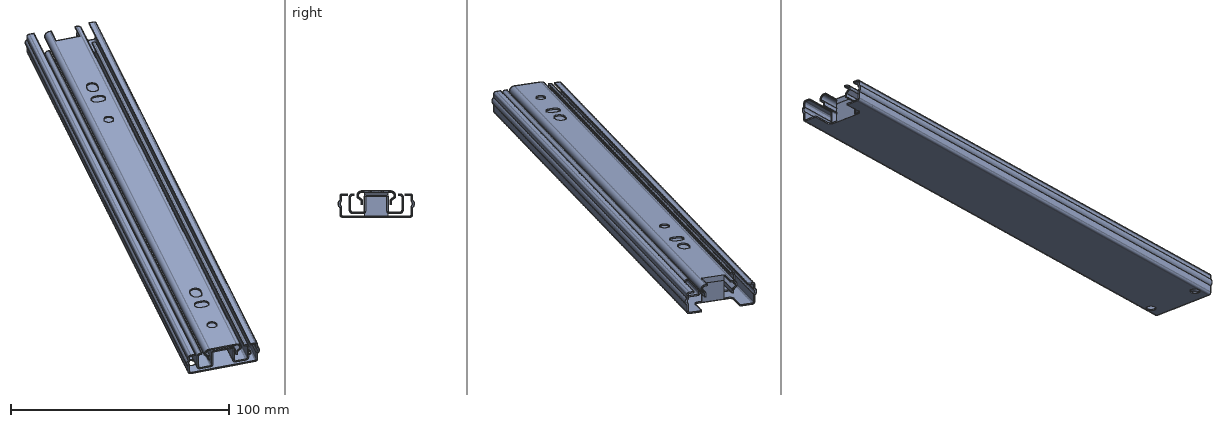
import cadquery as cq
import math

SLIDE_LENGTH = 250.0
OVERALL_WIDTH = 35.0
OVERALL_HEIGHT = 12.2
SHEET = 0.7
BEND_RADIUS = 1.2
INNER_BEND_RADIUS = BEND_RADIUS - SHEET
FRONT_X = -SLIDE_LENGTH / 2
REAR_X = SLIDE_LENGTH / 2

BEAD_RISE = 0.85
GROOVE_RISE = 0.5
BEAD_CHORD = 3.4
GROOVE_CHORD = 2.4
BEAD_Z = 6.2
CHANNEL_HALF_WIDTH = OVERALL_WIDTH / 2 - BEAD_RISE
CHANNEL_HEIGHT = 10.8
LIP_HALF_GAP = 13.2
NOTCH_DEPTH = 10.0
NOTCH_HALF_WIDTH = 9.4
NOTCH_CORNER_RADIUS = 1.9
BASE_HOLE_DIAMETER = 4.5
BASE_HOLE_Y = 13.2
BASE_HOLE_SETBACK = 7.1

TAB_X = FRONT_X + NOTCH_DEPTH
TAB_HALF_WIDTH = 5.4
TAB_MEETING_Z = 9.5

MIDDLE_SETBACK = 14.4
MIDDLE_MID_X = (FRONT_X + MIDDLE_SETBACK + REAR_X) / 2
MIDDLE_HALF_WIDTH = 12.4
MIDDLE_BOTTOM_Z = 1.8
MIDDLE_TOP_Z = CHANNEL_HEIGHT
HAT_HALF_WIDTH = 5.5
WING_BEND_RADIUS = 1.5
WING_LIP_HALF_GAP = 10.15

INNER_SETBACK = 2.5
SHOULDER_RADIUS = 2.4
INNER_HALF_WIDTH = 8.9
SHOULDER_BOTTOM_Z = 9.2
FLANGE_OUTER_Y = 7.0
FLANGE_TOP_Z = 7.7
FLANGE_BOTTOM_Z = 6.0
COVER_NOTCH_HALF_WIDTH = 5.7

HOLE_GROUP_PITCH = 160.0
LONG_SLOT_X = 48.0
LONG_SLOT_LENGTH = 6.7
LONG_SLOT_WIDTH = 5.2
CROSS_SLOT_X = 57.0
CROSS_SLOT_LENGTH = 6.7
ROUND_HOLE_X = 73.0
ROUND_HOLE_DIAMETER = 4.5


def block(x_range, y_range, z_range):
    """Rectangular block between the given limits."""
    size = [end - start for start, end in (x_range, y_range, z_range)]
    corner = (x_range[0], y_range[0], z_range[0])
    return cq.Workplane("XY").box(*size, centered=False).translate(corner)


def make_bead(wall_y, rise, chord):
    """Full-length bar whose section is a circular segment standing on a wall face."""
    return (
        cq.Workplane("YZ", origin=(FRONT_X, 0, 0))
        .moveTo(wall_y, BEAD_Z - chord / 2)
        .threePointArc((wall_y + rise, BEAD_Z), (wall_y, BEAD_Z + chord / 2))
        .close()
        .extrude(SLIDE_LENGTH)
    )


def make_outer_rail():
    length = (FRONT_X, REAR_X)
    inside = CHANNEL_HALF_WIDTH - SHEET
    rail = block(length, (-CHANNEL_HALF_WIDTH, CHANNEL_HALF_WIDTH), (0, CHANNEL_HEIGHT))
    rail = rail.edges("|X").fillet(BEND_RADIUS)
    cavity = block(length, (-inside, inside), (SHEET, CHANNEL_HEIGHT - SHEET))
    rail = rail.cut(cavity.edges("|X").fillet(INNER_BEND_RADIUS))
    rail = rail.cut(block(length, (-LIP_HALF_GAP, LIP_HALF_GAP), (CHANNEL_HEIGHT / 2, CHANNEL_HEIGHT)))

    for side in (-1, 1):
        rail = rail.union(make_bead(side * CHANNEL_HALF_WIDTH, side * BEAD_RISE, BEAD_CHORD))
        rail = rail.cut(make_bead(side * inside, side * GROOVE_RISE, GROOVE_CHORD))

    notch = block((FRONT_X, TAB_X), (-NOTCH_HALF_WIDTH, NOTCH_HALF_WIDTH), (0, SHEET))
    rail = rail.cut(notch.edges("|Z and >X").fillet(NOTCH_CORNER_RADIUS))

    rail = rail.union(block((TAB_X, TAB_X + SHEET), (-TAB_HALF_WIDTH, TAB_HALF_WIDTH), (0, TAB_MEETING_Z)))

    holes = (
        cq.Workplane("XY")
        .pushPoints([(REAR_X - BASE_HOLE_SETBACK, side * BASE_HOLE_Y) for side in (-1, 1)])
        .circle(BASE_HOLE_DIAMETER / 2)
        .extrude(SHEET)
    )
    return rail.cut(holes)


def round_edge_pair(rail, half_width, z, radius):
    """Fillet the two lengthwise middle rail edges at +-half_width and height z."""
    left, right = (
        cq.selectors.NearestToPointSelector((MIDDLE_MID_X, side * half_width, z)) for side in (-1, 1)
    )
    return rail.edges(left + right).fillet(radius)


def make_middle_rail():
    length = (FRONT_X + MIDDLE_SETBACK, REAR_X)
    height = (MIDDLE_BOTTOM_Z, MIDDLE_TOP_Z)
    rail = block(length, (-MIDDLE_HALF_WIDTH, MIDDLE_HALF_WIDTH), height)
    rail = rail.edges("|X").fillet(WING_BEND_RADIUS)

    hollow_half_width = HAT_HALF_WIDTH - SHEET
    hollow = block(length, (-hollow_half_width, hollow_half_width), (MIDDLE_BOTTOM_Z, MIDDLE_TOP_Z - SHEET))
    rail = rail.cut(hollow)

    wing_floor_z = MIDDLE_BOTTOM_Z + SHEET
    channel = block(
        length, (HAT_HALF_WIDTH, MIDDLE_HALF_WIDTH - SHEET), (wing_floor_z, MIDDLE_TOP_Z - SHEET)
    )
    channel = channel.edges("|X and >Y").fillet(WING_BEND_RADIUS - SHEET)
    channel = channel.union(block(length, (HAT_HALF_WIDTH, WING_LIP_HALF_GAP), (wing_floor_z, MIDDLE_TOP_Z)))
    rail = rail.cut(channel).cut(channel.mirror("XZ"))

    rail = round_edge_pair(rail, HAT_HALF_WIDTH, wing_floor_z, INNER_BEND_RADIUS)
    rail = round_edge_pair(rail, hollow_half_width, MIDDLE_TOP_Z - SHEET, INNER_BEND_RADIUS)
    rail = round_edge_pair(rail, hollow_half_width, MIDDLE_BOTTOM_Z, BEND_RADIUS)
    return round_edge_pair(rail, HAT_HALF_WIDTH, MIDDLE_TOP_Z, BEND_RADIUS)


def make_inner_rail():
    rail_front_x = FRONT_X + INNER_SETBACK
    shoulder_y = INNER_HALF_WIDTH - SHOULDER_RADIUS
    shoulder_z = OVERALL_HEIGHT - SHOULDER_RADIUS
    inner_radius = SHOULDER_RADIUS - SHEET
    diagonal = math.sqrt(0.5)

    def on_shoulder(radius):
        """Middle point of the shoulder arc with the given radius."""
        return (shoulder_y + radius * diagonal, shoulder_z + radius * diagonal)

    half = (
        cq.Workplane("YZ", origin=(rail_front_x, 0, 0))
        .moveTo(0, OVERALL_HEIGHT)
        .lineTo(shoulder_y, OVERALL_HEIGHT)
        .threePointArc(on_shoulder(SHOULDER_RADIUS), (INNER_HALF_WIDTH, shoulder_z))
        .lineTo(INNER_HALF_WIDTH, SHOULDER_BOTTOM_Z)
        .lineTo(FLANGE_OUTER_Y, FLANGE_TOP_Z)
        .lineTo(FLANGE_OUTER_Y, FLANGE_BOTTOM_Z)
        .lineTo(FLANGE_OUTER_Y - SHEET, FLANGE_BOTTOM_Z)
        .lineTo(FLANGE_OUTER_Y - SHEET, FLANGE_TOP_Z + SHEET / 2)
        .lineTo(INNER_HALF_WIDTH - SHEET, SHOULDER_BOTTOM_Z + SHEET / 2)
        .lineTo(INNER_HALF_WIDTH - SHEET, shoulder_z)
        .threePointArc(on_shoulder(inner_radius), (shoulder_y, OVERALL_HEIGHT - SHEET))
        .lineTo(0, OVERALL_HEIGHT - SHEET)
        .close()
        .extrude(REAR_X - rail_front_x)
    )
    rail = half.union(half.mirror("XZ"))

    cover_bottom_z = OVERALL_HEIGHT - SHEET
    notch_y = (-COVER_NOTCH_HALF_WIDTH, COVER_NOTCH_HALF_WIDTH)
    rail = rail.cut(block((rail_front_x, TAB_X), notch_y, (cover_bottom_z, OVERALL_HEIGHT)))
    tab_y = (-TAB_HALF_WIDTH, TAB_HALF_WIDTH)
    rail = rail.union(block((TAB_X, TAB_X + SHEET), tab_y, (TAB_MEETING_Z, OVERALL_HEIGHT)))

    for group in range(2):
        rail = rail.cut(make_hole_group(FRONT_X + group * HOLE_GROUP_PITCH, cover_bottom_z))
    return rail


def make_hole_group(start_x, bottom_z):
    """Cutter for one lengthwise slot, one crosswise slot and one round hole."""
    plane = cq.Workplane("XY", origin=(start_x, 0, bottom_z))
    long_slot = plane.center(LONG_SLOT_X, 0).slot2D(LONG_SLOT_LENGTH, LONG_SLOT_WIDTH).extrude(SHEET)
    cross_slot = (
        plane.center(CROSS_SLOT_X, 0).slot2D(CROSS_SLOT_LENGTH, ROUND_HOLE_DIAMETER, 90).extrude(SHEET)
    )
    round_hole = plane.center(ROUND_HOLE_X, 0).circle(ROUND_HOLE_DIAMETER / 2).extrude(SHEET)
    return long_slot.union(cross_slot).union(round_hole)


outer_rail = make_outer_rail()
middle_rail = make_middle_rail()
inner_rail = make_inner_rail()

result = cq.Compound.makeCompound([outer_rail.val(), middle_rail.val(), inner_rail.val()])